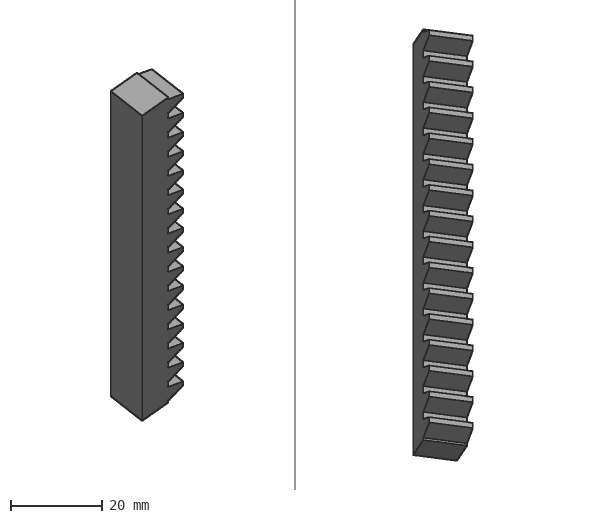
import cadquery as cq
import math

module = 2.0
pressure_angle = math.radians(20)
tooth_count = 16
tooth_thinning = 0.4
first_tooth_height = 2.836
length = 100.0
width = 10.0
overall_depth = 12.4

pitch = math.pi * module
addendum = module
dedendum = 1.25 * module
tip_y = overall_depth
root_y = tip_y - addendum - dedendum

pitch_half_width = (pitch / 2 - tooth_thinning) / 2
tip_half_width = pitch_half_width - addendum * math.tan(pressure_angle)
root_half_width = pitch_half_width + dedendum * math.tan(pressure_angle)

bottom_z = -length / 2
top_z = length / 2


def tooth_points(centre_z):
    """Corners (y, z) of one tooth, from its lower root to its upper root."""
    return [
        (root_y, centre_z - root_half_width),
        (tip_y, centre_z - tip_half_width),
        (tip_y, centre_z + tip_half_width),
        (root_y, centre_z + root_half_width),
    ]


def rack_profile():
    """Closed outline in the YZ plane, with the flat back on Y = 0."""
    points = [(0, bottom_z), (root_y, bottom_z)]
    for index in range(tooth_count):
        points += tooth_points(bottom_z + first_tooth_height + index * pitch)
    points += [(root_y, top_z), (0, top_z)]
    return cq.Workplane("YZ").polyline(points).close()


result = rack_profile().extrude(width / 2, both=True)